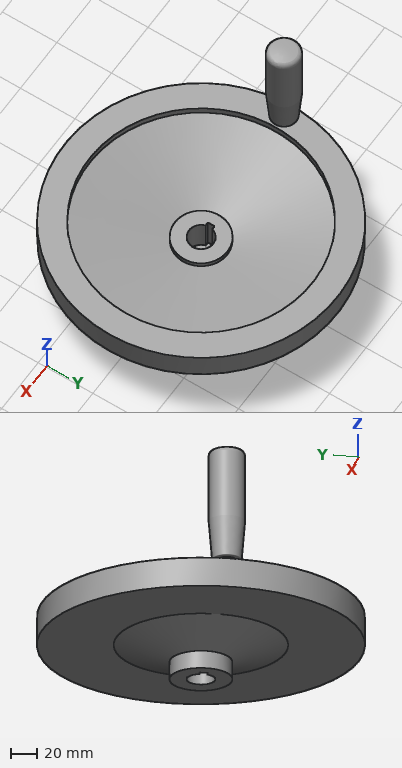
import cadquery as cq


RIM_RADIUS = 125.0
RIM_INNER_RADIUS = 102.0
RIM_HEIGHT = 23.0
RIM_WALL_DEPTH = 6.0

HUB_RADIUS = 24.0
HUB_LENGTH = 28.0
RIM_BOTTOM_Z = HUB_LENGTH
RIM_TOP_Z = RIM_BOTTOM_Z + RIM_HEIGHT
BORE_RADIUS = 11.0
KEYWAY_WIDTH = 6.0
KEYWAY_REACH = 13.8

WEB_UNDER_HUB_Z = 14.0
WEB_UNDER_RADIUS = 66.5
HUB_STEP = 4.0

HANDLE_X = -(RIM_RADIUS + RIM_INNER_RADIUS) / 2
HANDLE_RADIUS = 14.0
HANDLE_END_RADIUS = 11.4
HANDLE_GAP = 3.2
HANDLE_TAPER_TOP = 34.5
HANDLE_TOP = 92.5
DOME_HEIGHT = 1.8
HANDLE_TOP_FILLET = 4.0
GRIP_END_FILLET = 0.5
SPINDLE_RADIUS = 6.5
SPINDLE_EMBED = 5.0


def make_wheel():
    """Revolve the rim, web and hub section about Z."""
    section = (
        cq.Workplane("XZ")
        .moveTo(0, 0)
        .lineTo(HUB_RADIUS, 0)
        .lineTo(HUB_RADIUS, WEB_UNDER_HUB_Z)
        .lineTo(WEB_UNDER_RADIUS, RIM_BOTTOM_Z)
        .lineTo(RIM_RADIUS, RIM_BOTTOM_Z)
        .lineTo(RIM_RADIUS, RIM_TOP_Z)
        .lineTo(RIM_INNER_RADIUS, RIM_TOP_Z)
        .lineTo(RIM_INNER_RADIUS, RIM_TOP_Z - RIM_WALL_DEPTH)
        .lineTo(HUB_RADIUS, HUB_LENGTH - HUB_STEP)
        .lineTo(HUB_RADIUS, HUB_LENGTH)
        .lineTo(0, HUB_LENGTH)
        .close()
    )
    return section.revolve(360, (0, 0, 0), (0, 1, 0))


def make_bore():
    """Through bore with a keyway on the handle side (-X)."""
    bore = cq.Workplane("XY").circle(BORE_RADIUS).extrude(HUB_LENGTH)
    keyway = (
        cq.Workplane("XY")
        .center(-KEYWAY_REACH / 2, 0)
        .rect(KEYWAY_REACH, KEYWAY_WIDTH)
        .extrude(HUB_LENGTH)
    )
    return bore.union(keyway)


def make_handle():
    """Tapered grip with a domed top, on a short spindle sunk into the rim."""
    shoulder_z = HANDLE_TOP - DOME_HEIGHT
    dome_radius = (HANDLE_RADIUS**2 + DOME_HEIGHT**2) / (2 * DOME_HEIGHT)
    dome_mid_radius = HANDLE_RADIUS / 2
    dome_mid_z = HANDLE_TOP - dome_radius + (dome_radius**2 - dome_mid_radius**2) ** 0.5
    grip = (
        cq.Workplane("XZ")
        .moveTo(0, HANDLE_GAP)
        .lineTo(HANDLE_END_RADIUS, HANDLE_GAP)
        .lineTo(HANDLE_RADIUS, HANDLE_TAPER_TOP)
        .lineTo(HANDLE_RADIUS, shoulder_z)
        .threePointArc((dome_mid_radius, dome_mid_z), (0, HANDLE_TOP))
        .close()
        .revolve(360, (0, 0, 0), (0, 1, 0))
    )
    grip = grip.faces("<Z").edges().fillet(GRIP_END_FILLET)
    grip = grip.faces(">Z").edges("<Z").fillet(HANDLE_TOP_FILLET)
    spindle = (
        cq.Workplane("XY", origin=(0, 0, -SPINDLE_EMBED))
        .circle(SPINDLE_RADIUS)
        .extrude(SPINDLE_EMBED + HANDLE_GAP)
    )
    return grip.union(spindle).translate((HANDLE_X, 0, RIM_TOP_Z))


result = make_wheel().cut(make_bore()).union(make_handle())